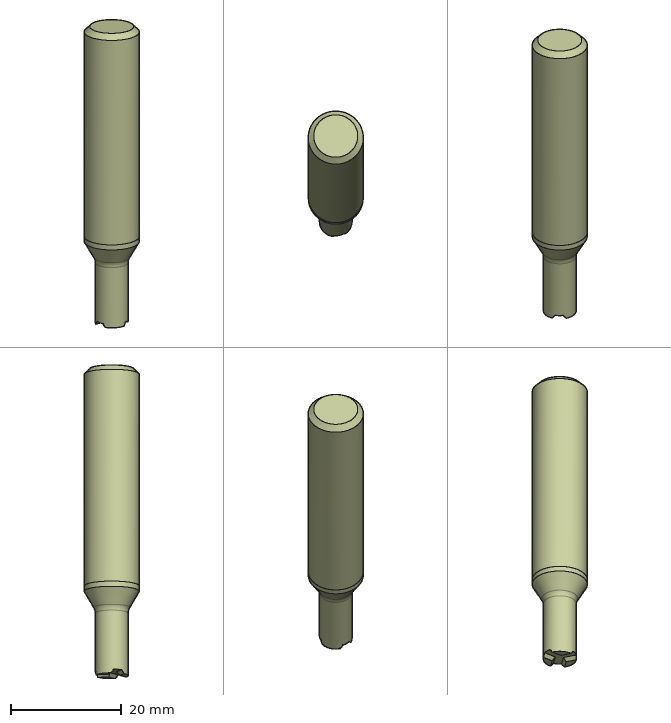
import cadquery as cq
import math

TOTAL_LENGTH = 56.5
SHANK_RADIUS = 10.0 / 2
TIP_RADIUS = 6.0 / 2

SHANK_LENGTH = 40.0
SHANK_CHAMFER = 1.0
JOINT_HEIGHT = TOTAL_LENGTH - SHANK_LENGTH

COLLAR_LENGTH = 0.95
CONE_HALF_ANGLE = math.radians(30)
NECK_FILLET_RADIUS = 2.05

GROOVE_COUNT = 3
GROOVE_DEPTH = 0.7
GROOVE_MOUTH_WIDTH = 2.55
GROOVE_FLOOR_WIDTH = 1.45
FIRST_GROOVE_ANGLE = -90


def make_shank():
    """Cylinder standing on the tip, chamfered at its top edge."""
    shank = cq.Workplane("XY", origin=(0, 0, JOINT_HEIGHT)).circle(SHANK_RADIUS).extrude(SHANK_LENGTH)
    return shank.faces(">Z").chamfer(SHANK_CHAMFER)


def make_tip_blank():
    """Revolved collar and cone, blended by a tangent arc into the stem."""
    cone_top = JOINT_HEIGHT - COLLAR_LENGTH

    def arc_radius(angle):
        return TIP_RADIUS + NECK_FILLET_RADIUS * (1 - math.cos(angle))

    cone_foot_radius = arc_radius(CONE_HALF_ANGLE)
    cone_foot = cone_top - (SHANK_RADIUS - cone_foot_radius) / math.tan(CONE_HALF_ANGLE)
    stem_top = cone_foot - NECK_FILLET_RADIUS * math.sin(CONE_HALF_ANGLE)
    arc_middle_angle = CONE_HALF_ANGLE / 2
    arc_middle = stem_top + NECK_FILLET_RADIUS * math.sin(arc_middle_angle)

    profile = (
        cq.Workplane("XZ")
        .lineTo(TIP_RADIUS, 0)
        .lineTo(TIP_RADIUS, stem_top)
        .threePointArc((arc_radius(arc_middle_angle), arc_middle), (cone_foot_radius, cone_foot))
        .lineTo(SHANK_RADIUS, cone_top)
        .lineTo(SHANK_RADIUS, JOINT_HEIGHT)
        .lineTo(0, JOINT_HEIGHT)
        .close()
    )
    return profile.revolve(360, (0, 0, 0), (0, 1, 0))


def make_groove_cutter(angle):
    """Trapezoidal bar running from the axis past the stem surface in the given direction."""
    half_mouth = GROOVE_MOUTH_WIDTH / 2
    half_floor = GROOVE_FLOOR_WIDTH / 2
    section = [
        (-half_mouth, 0),
        (half_mouth, 0),
        (half_floor, GROOVE_DEPTH),
        (-half_floor, GROOVE_DEPTH),
    ]
    bar = cq.Workplane("YZ").polyline(section).close().extrude(2 * TIP_RADIUS)
    return bar.rotate((0, 0, 0), (0, 0, 1), angle)


def make_tip():
    """Tip body with its end-face grooves cut at equal angles."""
    tip = make_tip_blank()
    for index in range(GROOVE_COUNT):
        tip = tip.cut(make_groove_cutter(FIRST_GROOVE_ANGLE + index * 360 / GROOVE_COUNT))
    return tip


shank = make_shank()
tip = make_tip()

result = cq.Compound.makeCompound([shank.val(), *tip.solids().vals()])